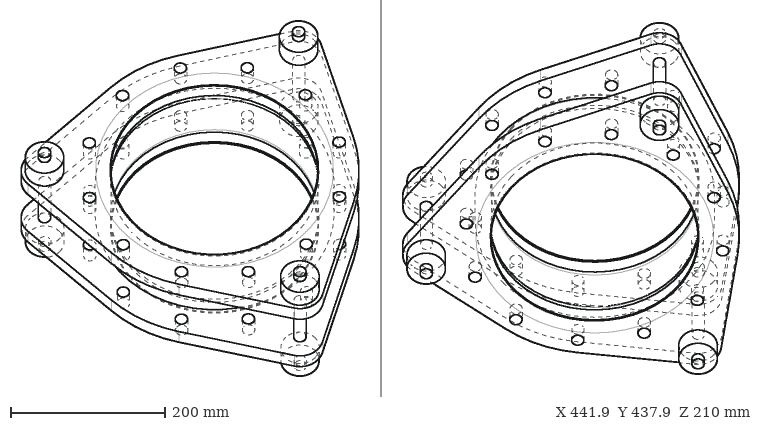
import cadquery as cq
import math

FACE_TO_FACE = 130.0
STUD_LENGTH = 210.0

FLANGE_THICKNESS = 24.0
FLANGE_RADIUS = 187.5
LUG_COUNT = 3
LUG_CIRCLE_RADIUS = 220.0
LUG_RADIUS = 30.4
FIRST_LUG_ANGLE = 90.0

HOLE_COUNT = 12
HOLE_CIRCLE_RADIUS = 167.5
HOLE_DIAMETER = 16.0

STUD_DIAMETER = 16.0
COLLAR_DIAMETER = 50.0
COLLAR_HEIGHT = 29.0

FACE_RING_RADIUS = 154.0
FACE_RING_DEPTH = 8.0

BORE_RADIUS = 134.0
SLEEVE_RADIUS = 135.0
BAND_RADIUS = 155.0
BAND_WIDTH = 65.0
BAND_EDGE_FILLET = 4.0
BAND_ROOT_FILLET = 2.5

FACE_Z = FACE_TO_FACE / 2
FLANGE_INNER_Z = FACE_Z - FLANGE_THICKNESS


def polar(radius, angle):
    """Point at the given radius and angle in degrees."""
    return (radius * math.cos(math.radians(angle)), radius * math.sin(math.radians(angle)))


def offset_point(center, radius, angle):
    """Point at the given radius and angle around a center."""
    x, y = polar(radius, angle)
    return (center[0] + x, center[1] + y)


def make_cylinder(radius, length):
    """Cylinder on the Z axis, centered on the XY plane."""
    return cq.Workplane("XY").workplane(offset=-length / 2).circle(radius).extrude(length)


def lug_angles():
    return [FIRST_LUG_ANGLE + i * 360.0 / LUG_COUNT for i in range(LUG_COUNT)]


def lug_points():
    return [polar(LUG_CIRCLE_RADIUS, angle) for angle in lug_angles()]


def flange_outline():
    """Disc arcs and lug arcs joined by their common tangent lines."""
    tangent_angle = math.degrees(math.acos((FLANGE_RADIUS - LUG_RADIUS) / LUG_CIRCLE_RADIUS))
    half_pitch = 180.0 / LUG_COUNT
    outline = cq.Workplane("XY").moveTo(*polar(FLANGE_RADIUS, FIRST_LUG_ANGLE - tangent_angle))
    for angle in lug_angles():
        center = polar(LUG_CIRCLE_RADIUS, angle)
        next_lug_angle = angle + 2 * half_pitch
        outline = (
            outline
            .lineTo(*offset_point(center, LUG_RADIUS, angle - tangent_angle))
            .threePointArc(
                offset_point(center, LUG_RADIUS, angle),
                offset_point(center, LUG_RADIUS, angle + tangent_angle),
            )
            .lineTo(*polar(FLANGE_RADIUS, angle + tangent_angle))
            .threePointArc(
                polar(FLANGE_RADIUS, angle + half_pitch),
                polar(FLANGE_RADIUS, next_lug_angle - tangent_angle),
            )
        )
    return outline.close()


def make_face_ring():
    """Ring around the sleeve, set into the outer face of the upper flange."""
    ring = cq.Workplane("XY").workplane(offset=FACE_Z - FACE_RING_DEPTH)
    return ring.circle(FACE_RING_RADIUS).circle(SLEEVE_RADIUS).extrude(FACE_RING_DEPTH)


def make_flange():
    """Upper flange plate, with bolt holes straddling the lug axes and a flush face ring."""
    hole_pitch = 360.0 / HOLE_COUNT
    first_hole_angle = FIRST_LUG_ANGLE + hole_pitch / 2
    holes = [polar(HOLE_CIRCLE_RADIUS, first_hole_angle + i * hole_pitch) for i in range(HOLE_COUNT)]
    plate = flange_outline().extrude(FLANGE_THICKNESS)
    bolt_holes = cq.Workplane("XY").pushPoints(holes).circle(HOLE_DIAMETER / 2).extrude(FLANGE_THICKNESS)
    bore = cq.Workplane("XY").circle(SLEEVE_RADIUS).extrude(FLANGE_THICKNESS)
    plate = plate.cut(bolt_holes).cut(bore).translate((0, 0, FLANGE_INNER_Z))
    face_ring = make_face_ring()
    return plate.cut(face_ring).union(face_ring, clean=False)


def make_sleeve():
    """Thin sleeve with a thick band, rounded at its rims and at its roots."""
    band = make_cylinder(BAND_RADIUS, BAND_WIDTH).edges().fillet(BAND_EDGE_FILLET)
    body = make_cylinder(SLEEVE_RADIUS, FACE_TO_FACE).union(band)
    band_sides = body.faces("<<Z[1] or >>Z[1]")
    roots = band_sides.edges(cq.selectors.RadiusNthSelector(0))
    body = roots.fillet(BAND_ROOT_FILLET)
    return body.cut(make_cylinder(BORE_RADIUS, FACE_TO_FACE))


def make_studs():
    """Tie rods running through both flanges at the lugs."""
    studs = cq.Workplane("XY").pushPoints(lug_points()).circle(STUD_DIAMETER / 2)
    return studs.extrude(STUD_LENGTH).translate((0, 0, -STUD_LENGTH / 2))


def make_collars():
    """Round collars around the tie rods, seated on the upper flange."""
    collars = cq.Workplane("XY").pushPoints(lug_points()).circle(COLLAR_DIAMETER / 2)
    return collars.extrude(COLLAR_HEIGHT).translate((0, 0, FACE_Z))


body = make_sleeve()
for upper_part in (make_flange(), make_collars()):
    body = body.union(upper_part, clean=False)
    body = body.union(upper_part.mirror("XY"), clean=False)
body = body.union(make_studs(), clean=False)

result = cq.Workplane("XY").newObject([body.solids().val()])